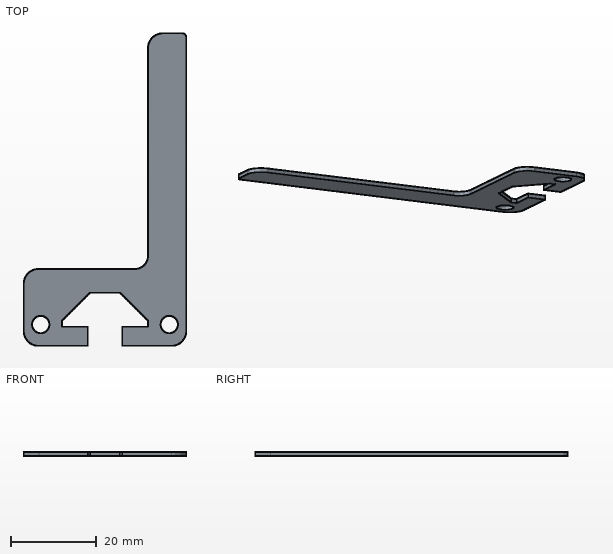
import cadquery as cq

thickness = 1.0
foot_width = 38.0
foot_height = 18.0
arm_width = 9.0
arm_top = 73.0
outer_corner_radius = 3.5
inner_corner_radius = 3.0
arm_tip_radius = 1.0

slot_center_x = foot_width / 2
slot_mouth_width = 8.0
slot_inner_width = 20.0
slot_roof_width = 7.0
lip_height = 4.5
slot_shoulder_height = 5.9
slot_taper_rise = (slot_inner_width - slot_roof_width) / 2
slot_roof_height = slot_shoulder_height + slot_taper_rise

hole_diameter = 4.0
hole_spacing = 30.0
hole_height = 5.0


def make_plate():
    """L-shaped plate with rounded corners."""
    arm_left = foot_width - arm_width
    outline = [
        (0, 0),
        (foot_width, 0),
        (foot_width, arm_top),
        (arm_left, arm_top),
        (arm_left, foot_height),
        (0, foot_height),
    ]
    plate = cq.Workplane("XY").polyline(outline).close().extrude(thickness)

    arm_tip_corner = (foot_width, arm_top)
    inner_corner = (arm_left, foot_height)
    outer_corners = [point for point in outline if point not in (arm_tip_corner, inner_corner)]
    plate = round_corners(plate, outer_corners, outer_corner_radius)
    plate = round_corners(plate, [inner_corner], inner_corner_radius)
    return round_corners(plate, [arm_tip_corner], arm_tip_radius)


def round_corners(plate, corners, radius):
    """Fillet the vertical edges that stand on the given corner points."""
    for x, y in corners:
        edge = plate.edges(cq.selectors.NearestToPointSelector((x, y, thickness / 2)))
        plate = edge.fillet(radius)
    return plate


def make_slot():
    """Cutter for the slot: mouth, straight shoulders, then flanks tapering to a flat roof."""
    right_side = [
        (slot_mouth_width / 2, 0),
        (slot_mouth_width / 2, lip_height),
        (slot_inner_width / 2, lip_height),
        (slot_inner_width / 2, slot_shoulder_height),
        (slot_roof_width / 2, slot_roof_height),
    ]
    left_side = [(-x, y) for x, y in reversed(right_side)]
    profile = cq.Workplane("XY").center(slot_center_x, 0).polyline(right_side + left_side)
    return profile.close().extrude(thickness)


def make_holes():
    """Cutters for the two mounting holes."""
    centers = [(slot_center_x + side * hole_spacing / 2, hole_height) for side in (-1, 1)]
    return cq.Workplane("XY").pushPoints(centers).circle(hole_diameter / 2).extrude(thickness)


result = make_plate().cut(make_slot()).cut(make_holes())